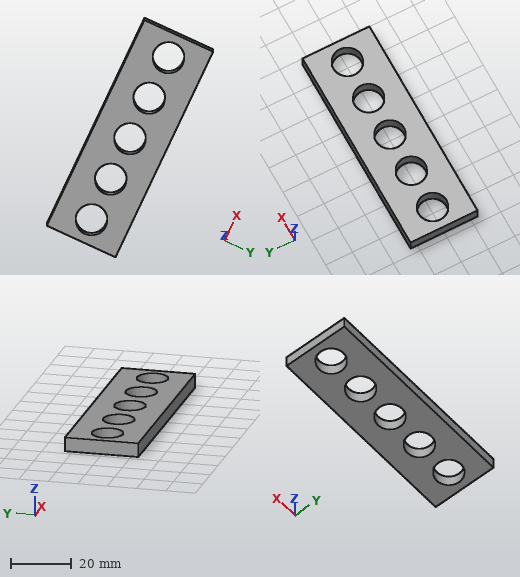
import cadquery as cq

length = 76.0
width = 25.0
thickness = 4.8

hole_count = 5
hole_pitch = 15.0
hole_diameter = 10.4

plate = cq.Workplane("XY").box(length, width, thickness)

result = (
    plate.faces(">Z")
    .workplane()
    .rarray(hole_pitch, width, hole_count, 1)
    .hole(hole_diameter)
)